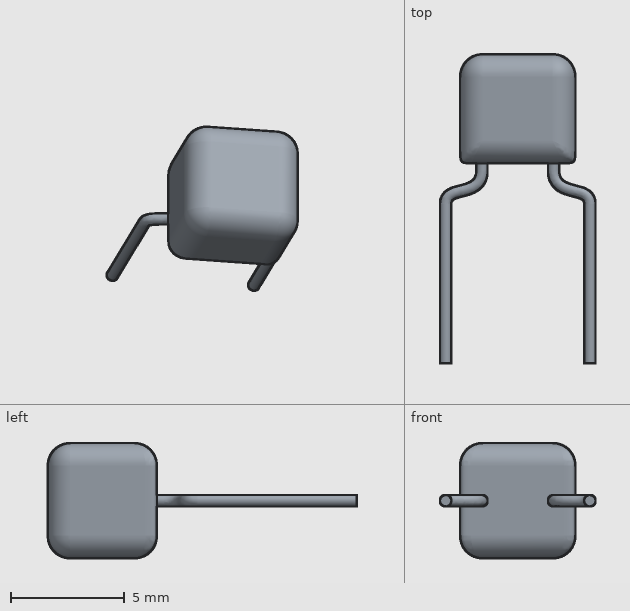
import cadquery as cq
import math

body_width = 5.08
body_depth = 4.81
body_height = 5.08
edge_radius = 1.0

blend_setback = 0.5
blend_fullness = 0.89

dome_steps = 8

wire_diameter = 0.51
overall_length = 13.6
tip_spacing = 6.35
exit_spacing = 3.15
exit_length = 0.32

bend_width = (tip_spacing - exit_spacing) / 2
bend_length = 1.475
bend_middle_length = 0.86

corner_axis_x = body_width / 2 - edge_radius
corner_axis_y = edge_radius
straight_height = body_height - 2 * edge_radius
quarter_turn = math.pi / 2

blend_end = edge_radius - blend_setback
blend_handle = edge_radius - blend_setback * (1 - blend_fullness)
blend_controls = [
    (edge_radius, blend_end),
    (edge_radius, blend_handle),
    (blend_handle, edge_radius),
    (blend_end, edge_radius),
]


def blend_reach(t):
    """Outward and forward distance from the corner axis at parameter t of the blend curve."""
    weights = [(1 - t) ** 3, 3 * t * (1 - t) ** 2, 3 * t**2 * (1 - t), t**3]
    outward = sum(weight * control[0] for weight, control in zip(weights, blend_controls))
    forward = sum(weight * control[1] for weight, control in zip(weights, blend_controls))
    return outward, forward


def corner_point(side, end, reach, angle=0):
    """Point of a corner on the given side and end; its reach shrinks to nothing as angle rises."""
    return cq.Vector(
        side * (corner_axis_x + reach[0] * math.cos(angle)),
        corner_axis_y - reach[1] * math.cos(angle),
        end * (straight_height / 2 + edge_radius * math.sin(angle)),
    )


def make_dome_arc(side, end, reach):
    """Quarter ellipse from the foot of the dome up to the corner axis."""
    centre = corner_point(side, end, (0, 0))
    across = corner_point(side, end, reach) - centre
    normal = across.cross(cq.Vector(0, 0, end))
    return cq.Edge.makeEllipse(across.Length, edge_radius, centre, normal, across, 0, 90, 1)


def make_dome(side, end, blend_edge, arcs):
    """Three-sided surface over the blend curve, closing to a point on the corner axis."""
    inner_points = [
        corner_point(side, end, blend_reach(i / dome_steps), quarter_turn * j / dome_steps)
        for i in range(1, dome_steps)
        for j in range(1, dome_steps)
    ]
    return cq.Face.makeNSidedSurface([blend_edge, *arcs], inner_points)


def make_corner_side(side, reach, bottom_arc, top_arc):
    """Flat upright face between the corner axis and one end of the blend curve."""
    bottom, top = (corner_point(side, end, reach) for end in (-1, 1))
    axis_bottom, axis_top = (corner_point(side, end, reach, quarter_turn) for end in (-1, 1))
    outer_edge = cq.Edge.makeLine(bottom, top)
    axis_edge = cq.Edge.makeLine(axis_bottom, axis_top)
    return cq.Face.makeFromWires(cq.Wire.assembleEdges([axis_edge, top_arc, outer_edge, bottom_arc]))


def make_corner(side):
    """Upright column between the corner axis and the blended edge, domed at both ends."""
    side_reaches = [blend_controls[0], blend_controls[-1]]
    faces = []
    blend_edges = []
    end_arcs = []
    for end in (-1, 1):
        blend_edge = cq.Edge.makeBezier([corner_point(side, end, reach) for reach in blend_controls])
        arcs = [make_dome_arc(side, end, reach) for reach in side_reaches]
        faces.append(make_dome(side, end, blend_edge, arcs))
        blend_edges.append(blend_edge)
        end_arcs.append(arcs)
    faces.append(cq.Face.makeRuledSurface(*blend_edges))
    for reach, bottom_arc, top_arc in zip(side_reaches, *end_arcs):
        faces.append(make_corner_side(side, reach, bottom_arc, top_arc))
    solid = cq.Solid.makeSolid(cq.Shell.makeShell(faces))
    return cq.Workplane(solid.fix())


def make_corner_notch(side):
    """Cutter that opens the block between the two flat sides of a corner column."""
    far = 2 * edge_radius
    near = 2 * blend_end
    return (
        cq.Workplane("XY", origin=(side * corner_axis_x, corner_axis_y, 0))
        .polyline([(0, 0), (side * far, -near), (side * far, -far), (side * near, -far)])
        .close()
        .extrude(body_height, both=True)
    )


def make_body():
    """Block with rounded edges, its two lead-end corners replaced by blended ones."""
    block = cq.Workplane("XY").box(body_width, body_depth, body_height)
    block = block.translate((0, body_depth / 2, 0))
    block = block.edges("|Z and >Y").fillet(edge_radius)
    block = block.faces("<Z or >Z").edges().fillet(edge_radius)
    for side in (-1, 1):
        block = block.cut(make_corner_notch(side)).union(make_corner(side))
    return block


def make_lead(side):
    """Wire that leaves the front face, steps outward in an S-bend and runs straight to its tip."""
    exit_x = side * exit_spacing / 2
    tip_x = side * tip_spacing / 2
    bend_end_y = -exit_length - bend_length
    tip_y = body_depth - overall_length
    forward = (0, -1)

    path = (
        cq.Workplane("XY")
        .moveTo(exit_x, 0)
        .lineTo(exit_x, -exit_length)
        .spline(
            [
                (exit_x + side * bend_width / 2, -exit_length - bend_middle_length),
                (tip_x, bend_end_y),
            ],
            tangents=[forward, forward],
            includeCurrent=True,
        )
        .lineTo(tip_x, tip_y)
    )
    return cq.Workplane("XZ", origin=(exit_x, 0, 0)).circle(wire_diameter / 2).sweep(path)


body = make_body()
leads = [make_lead(side) for side in (-1, 1)]

result = cq.Compound.makeCompound([body.val(), *[lead.val() for lead in leads]])